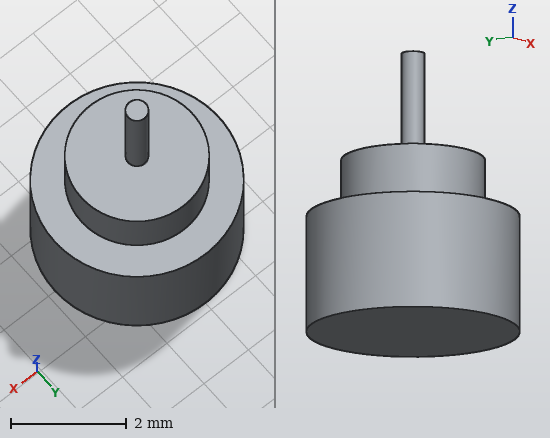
import cadquery as cq

total_height = 4.95

base_diameter = 3.7
base_height = 2.05

collar_diameter = 2.5
collar_height = 1.0

pin_diameter = 0.4
pin_length = total_height - base_height - collar_height


def add_cylinder(body, diameter, height):
    """Stack a centred cylinder on the top face of the body."""
    return body.faces(">Z").workplane().circle(diameter / 2).extrude(height)


base = cq.Workplane("XY").circle(base_diameter / 2).extrude(base_height)

with_collar = add_cylinder(base, collar_diameter, collar_height)
result = add_cylinder(with_collar, pin_diameter, pin_length)